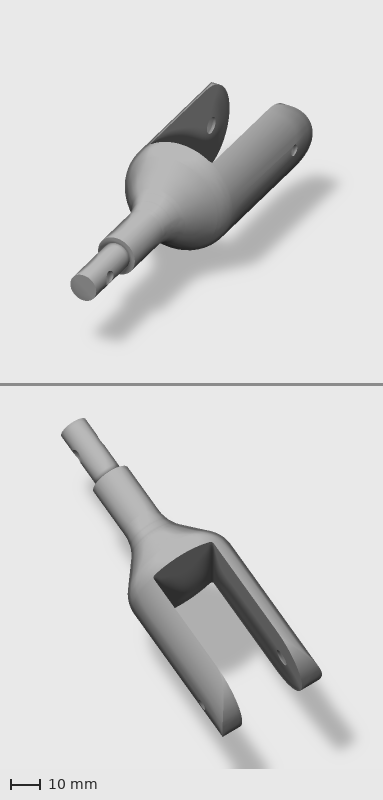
import cadquery as cq
import math

total_length = 121.8
body_radius = 20.0
shank_radius = 5.0
shank_length = 22.8
collar_radius = 7.1
collar_end = 41.9
shoulder_end = 66.7
shoulder_radius = 10.0
neck_radius = 15.0

slot_width = 24.0
slot_fillet = 1.0
tine_half_height = math.sqrt(body_radius**2 - (slot_width / 2) ** 2)

pin_y = 109.3
pin_bore_diameter = 4.0
pin_clearance_diameter = 6.0
pin_recess_diameter = 10.0
pin_recess_depth = 7.0
pin_recess_end = pin_recess_depth - body_radius
shank_hole_y = 9.5
shank_hole_diameter = 5.0

cut_clearance = 1.2
cut_reach = body_radius + cut_clearance


def arc_point(center, radius, angle):
    """Point at an angle from the outward radial direction, turning toward the fork."""
    return (center[0] + radius * math.cos(angle), center[1] + radius * math.sin(angle))


def make_body():
    """Revolve the stepped shank, tangent funnel and full-diameter fork blank."""
    neck_center = (collar_radius + neck_radius, collar_end)
    shoulder_center = (body_radius - shoulder_radius, shoulder_end)
    across = neck_center[0] - shoulder_center[0]
    along = shoulder_center[1] - neck_center[1]
    center_distance = math.hypot(across, along)
    tangent_angle = math.acos((neck_radius + shoulder_radius) / center_distance)
    cone_angle = math.atan2(along, across) - tangent_angle

    profile = (
        cq.Workplane("XY")
        .lineTo(shank_radius, 0)
        .lineTo(shank_radius, shank_length)
        .lineTo(collar_radius, shank_length)
        .lineTo(collar_radius, collar_end)
        .threePointArc(
            arc_point(neck_center, neck_radius, math.pi - cone_angle / 2),
            arc_point(neck_center, neck_radius, math.pi - cone_angle),
        )
        .lineTo(*arc_point(shoulder_center, shoulder_radius, -cone_angle))
        .threePointArc(
            arc_point(shoulder_center, shoulder_radius, -cone_angle / 2),
            (body_radius, shoulder_end),
        )
        .lineTo(body_radius, total_length)
        .lineTo(0, total_length)
        .close()
    )
    return profile.revolve(360, (0, 0, 0), (0, 1, 0))


def slot_cutter():
    """Block between the tines, with its two floor corners rounded."""
    slot_length = total_length - shoulder_end
    block = cq.Workplane("XY").box(slot_width, slot_length, 2 * cut_reach)
    block = block.edges("|Z and <Y").fillet(slot_fillet)
    return block.translate((0, shoulder_end + slot_length / 2, 0))


def tine_tip_cutter():
    """Block around the fork end, hollowed so that half-round tine tips remain."""
    tip_center = total_length - tine_half_height
    block = (
        cq.Workplane("XY")
        .box(2 * cut_reach, 2 * tine_half_height, 2 * cut_reach)
        .translate((0, tip_center + tine_half_height, 0))
    )
    return block.cut(x_cylinder(tip_center, 2 * tine_half_height, -cut_reach, cut_reach))


def x_cylinder(y, diameter, x_start, x_end):
    """Cylinder along X between two stations."""
    return (
        cq.Workplane("YZ", origin=(x_start, 0, 0))
        .center(y, 0)
        .circle(diameter / 2)
        .extrude(x_end - x_start)
    )


result = make_body().cut(slot_cutter()).cut(tine_tip_cutter())

result = result.cut(x_cylinder(pin_y, pin_recess_diameter, -cut_reach, pin_recess_end))
result = result.cut(x_cylinder(pin_y, pin_clearance_diameter, -cut_reach, 0))
result = result.cut(x_cylinder(pin_y, pin_bore_diameter, 0, cut_reach))

result = result.cut(x_cylinder(shank_hole_y, shank_hole_diameter, -cut_reach, cut_reach))